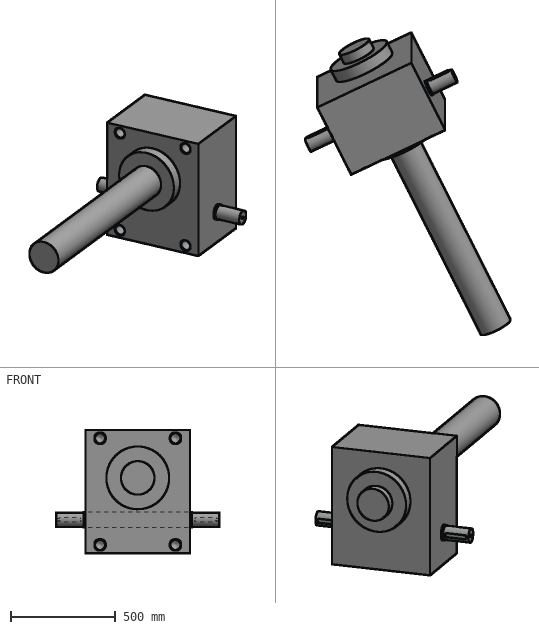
import cadquery as cq
import math

overall_length = 1540.0
overall_width = 780.0

housing_width = 500.0
housing_depth = 370.0
housing_height = 590.0

flange_diameter = 300.0
flange_thickness = 60.0
flanged_depth = housing_depth + 2 * flange_thickness

mount_hole_diameter = 50.0
mount_hole_mouth_diameter = 55.0
mount_hole_depth = 77.0
mount_hole_inset_z = 40.0
mount_hole_spacing_x = 360.0
mount_hole_spacing_z = housing_height - 2 * mount_hole_inset_z
drill_point_angle = 120.0

screw_diameter = 160.0
screw_axis_z = 360.0
screw_rear_overhang = 50.0
screw_rear_y = flanged_depth / 2 + screw_rear_overhang

shaft_axis_z = 160.0
shaft_diameter = 70.0
shoulder_diameter = 75.0
shoulder_overhang = 10.0
shoulder_length = housing_width + 2 * shoulder_overhang
shaft_end_length = (overall_width - shoulder_length) / 2

key_width = 20.0
key_length = 110.0
key_protrusion = 2.3
key_top_y = shaft_diameter / 2 + key_protrusion
key_center_x = (shoulder_length + shaft_end_length) / 2

center_hole_diameter = 11.9
center_hole_depth = 15.0


def cylinder_along_y(diameter, length, rear_y):
    """Cylinder on the lead screw axis that runs forward (-Y) from its rear end."""
    return cq.Workplane("XZ", origin=(0, rear_y, screw_axis_z)).circle(diameter / 2).extrude(length)


def cylinder_along_x(diameter, length):
    """Cylinder on the drive shaft axis, centred on X = 0."""
    return (
        cq.Workplane("YZ", origin=(0, 0, shaft_axis_z))
        .circle(diameter / 2)
        .extrude(length / 2, both=True)
    )


def drilled_hole(diameter, depth):
    """Cutter along +Y from the origin: straight bore with a conical drill point."""
    radius = diameter / 2
    point_length = radius / math.tan(math.radians(drill_point_angle / 2))
    return (
        cq.Workplane("XY")
        .polyline([(0, 0), (radius, 0), (radius, depth), (0, depth + point_length)])
        .close()
        .revolve(360, (0, 0, 0), (0, 1, 0))
    )


def make_mounting_hole():
    """Cutter for a drilled hole with a 45 degree chamfer around its mouth."""
    mouth_radius = mount_hole_mouth_diameter / 2
    mouth_cone = cq.Solid.makeCone(
        mouth_radius, 0, mouth_radius, pnt=cq.Vector(0, 0, 0), dir=cq.Vector(0, 1, 0)
    )
    return drilled_hole(mount_hole_diameter, mount_hole_depth).union(cq.Workplane(mouth_cone))


def make_housing():
    """Gearbox block with both flanges, bored for the lead screw and the drive shaft."""
    block = cq.Workplane("XY").box(
        housing_width, housing_depth, housing_height, centered=(True, True, False)
    )
    housing = block.union(cylinder_along_y(flange_diameter, flanged_depth, flanged_depth / 2))
    housing = housing.cut(cylinder_along_y(screw_diameter, flanged_depth, flanged_depth / 2))
    housing = housing.cut(cylinder_along_x(shoulder_diameter, housing_width))
    hole = make_mounting_hole()
    for side_x in (-1, 1):
        for side_z in (-1, 1):
            x = side_x * mount_hole_spacing_x / 2
            z = housing_height / 2 + side_z * mount_hole_spacing_z / 2
            housing = housing.cut(hole.translate((x, -housing_depth / 2, z)))
    return housing


def make_screw():
    """Plain round lead screw."""
    return cylinder_along_y(screw_diameter, overall_length, screw_rear_y)


def make_key(center_x):
    """Round-ended key that reaches from the shaft axis to just outside the shaft surface."""
    return (
        cq.Workplane("XZ", origin=(center_x, key_top_y, shaft_axis_z))
        .slot2D(key_length, key_width)
        .extrude(key_top_y)
    )


def make_shaft():
    """Shouldered drive shaft with a key and a centre hole at each end."""
    shaft = cylinder_along_x(shaft_diameter, overall_width)
    shaft = shaft.union(cylinder_along_x(shoulder_diameter, shoulder_length))
    center_hole = drilled_hole(center_hole_diameter, center_hole_depth)
    for side in (-1, 1):
        shaft = shaft.union(make_key(side * key_center_x))
        inward_hole = center_hole.rotate((0, 0, 0), (0, 0, 1), side * 90)
        shaft = shaft.cut(inward_hole.translate((side * overall_width / 2, 0, shaft_axis_z)))
    return shaft


housing = make_housing()
screw = make_screw()
shaft = make_shaft()

bodies = [body.solids().val() for body in (housing, screw, shaft)]
result = cq.Compound.makeCompound(bodies)